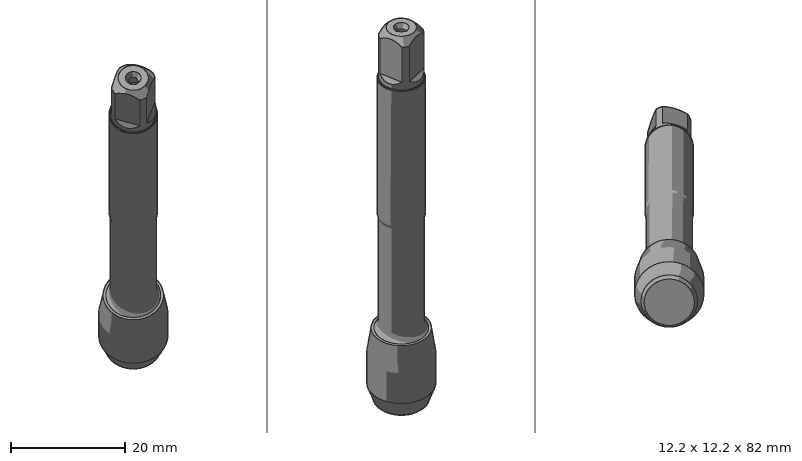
import cadquery as cq

head_diameter = 12.18
head_length = 16.0
head_foot_diameter = 8.8
head_foot_chamfer_height = 0.55
head_lower_taper_diameter = 9.9
head_barrel_start = 3.9
head_barrel_end = 10.5
head_top_diameter = 10.6

overall_length = 82.0
neck_diameter = 8.16
flare_diameter = 9.6
flare_height = 1.5
neck_end = 40.5
shaft_diameter = 8.5
shaft_start = 41.2
shaft_end = 71.2
shaft_chamfer = 0.15
collar_diameter = 8.0

square_width = 6.5
square_floor = 72.9
drive_tip_diameter = 5.3
drive_tip_chamfer_height = 1.4
center_hole_diameter = 1.6
center_hole_depth = 2.5
drill_point_depth = 0.46
countersink_diameter = 2.7
countersink_depth = 0.95

axis_start = (0, 0)
axis_end = (0, 1)


def make_head():
    """Barrel with a chamfered foot and a conical taper at both ends."""
    return (
        cq.Workplane("XZ")
        .lineTo(head_foot_diameter / 2, 0)
        .lineTo(head_lower_taper_diameter / 2, head_foot_chamfer_height)
        .lineTo(head_diameter / 2, head_barrel_start)
        .lineTo(head_diameter / 2, head_barrel_end)
        .lineTo(head_top_diameter / 2, head_length)
        .lineTo(0, head_length)
        .close()
        .revolve(360, axis_start, axis_end)
    )


def make_turned_shank():
    """Round shank standing on the head, before the square and the center hole are cut."""
    flare_radius = flare_diameter / 2
    neck_radius = neck_diameter / 2
    shaft_radius = shaft_diameter / 2
    collar_radius = collar_diameter / 2
    return (
        cq.Workplane("XZ")
        .moveTo(flare_radius, head_length)
        .lineTo(0, head_length)
        .lineTo(0, overall_length)
        .lineTo(drive_tip_diameter / 2, overall_length)
        .lineTo(collar_radius, overall_length - drive_tip_chamfer_height)
        .lineTo(collar_radius, shaft_end)
        .lineTo(shaft_radius - shaft_chamfer, shaft_end)
        .lineTo(shaft_radius, shaft_end - shaft_chamfer)
        .lineTo(shaft_radius, shaft_start)
        .lineTo(neck_radius, neck_end)
        .lineTo(neck_radius, head_length + flare_height)
        .tangentArcPoint((flare_radius, head_length), relative=False)
        .close()
        .revolve(360, axis_start, axis_end)
    )


def make_flat_cutter():
    """Prism that cuts the flat on the -Y side, with a 45 degree runout at its floor."""
    flat_distance = square_width / 2
    cutter_depth = shaft_diameter / 2 - flat_distance
    return (
        cq.Workplane("YZ")
        .moveTo(-flat_distance, square_floor)
        .lineTo(-flat_distance, overall_length)
        .lineTo(-flat_distance - cutter_depth, overall_length)
        .lineTo(-flat_distance - cutter_depth, square_floor - cutter_depth)
        .close()
        .extrude(shaft_diameter / 2, both=True)
    )


def make_center_hole_cutter():
    """Countersunk center hole with a conical drill point."""
    hole_radius = center_hole_diameter / 2
    hole_bottom = overall_length - center_hole_depth
    return (
        cq.Workplane("XZ")
        .moveTo(0, overall_length)
        .lineTo(countersink_diameter / 2, overall_length)
        .lineTo(hole_radius, overall_length - countersink_depth)
        .lineTo(hole_radius, hole_bottom)
        .lineTo(0, hole_bottom - drill_point_depth)
        .close()
        .revolve(360, axis_start, axis_end)
    )


def make_shank():
    """Turned shank with four drive flats and the center hole."""
    shank = make_turned_shank()
    flat_cutter = make_flat_cutter()
    for angle in (0, 90, 180, 270):
        shank = shank.cut(flat_cutter.rotate((0, 0, 0), (0, 0, 1), angle))
    return shank.cut(make_center_hole_cutter())


head = make_head()
shank = make_shank()

result = cq.Compound.makeCompound([head.val(), shank.val()])